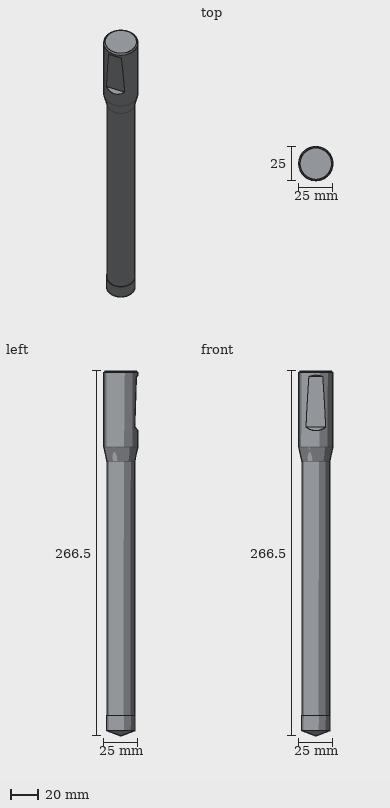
import cadquery as cq

total_length = 266.5

shaft_diameter = 20.5
head_diameter = 25.0
head_length = 55.5
taper_length = 10.5
top_chamfer = 1.0

flat_top_z = 262.5
flat_bottom_z = 225.7
flat_top_depth = 1.0
flat_bottom_depth = 2.27
upper_ramp_height = 1.0
lower_ramp_height = 2.7

cap_diameter = 21.0
cap_length = 11.0
point_height = 4.0

head_radius = head_diameter / 2
shaft_radius = shaft_diameter / 2
head_bottom_z = total_length - head_length
taper_bottom_z = head_bottom_z - taper_length
cap_top_z = point_height + cap_length


def revolve_profile(points):
    """Revolve a closed (radius, Z) outline about the Z axis."""
    return cq.Workplane("XZ").polyline(points).close().revolve(360, (0, 0, 0), (0, 1, 0))


def make_head_flat():
    """Cutter for the flat: a side outline in YZ, extruded across the whole head."""
    outline = [
        (-head_radius, flat_top_z + upper_ramp_height),
        (-head_radius + flat_top_depth, flat_top_z),
        (-head_radius + flat_bottom_depth, flat_bottom_z),
        (-head_radius, flat_bottom_z - lower_ramp_height),
    ]
    return cq.Workplane("YZ").polyline(outline).close().extrude(head_radius, both=True)


def make_shaft():
    """Solid shaft, tapered out to the chamfered head that carries the flat."""
    profile = [
        (0, cap_top_z),
        (shaft_radius, cap_top_z),
        (shaft_radius, taper_bottom_z),
        (head_radius, head_bottom_z),
        (head_radius, total_length - top_chamfer),
        (head_radius - top_chamfer, total_length),
        (0, total_length),
    ]
    return revolve_profile(profile).cut(make_head_flat())


def make_end_cap():
    """Cylindrical cap with a conical point, seated on the end of the shaft."""
    profile = [
        (0, 0),
        (cap_diameter / 2, point_height),
        (cap_diameter / 2, cap_top_z),
        (0, cap_top_z),
    ]
    return revolve_profile(profile)


shaft = make_shaft()
end_cap = make_end_cap()

result = cq.Compound.makeCompound([shaft.val(), end_cap.val()])